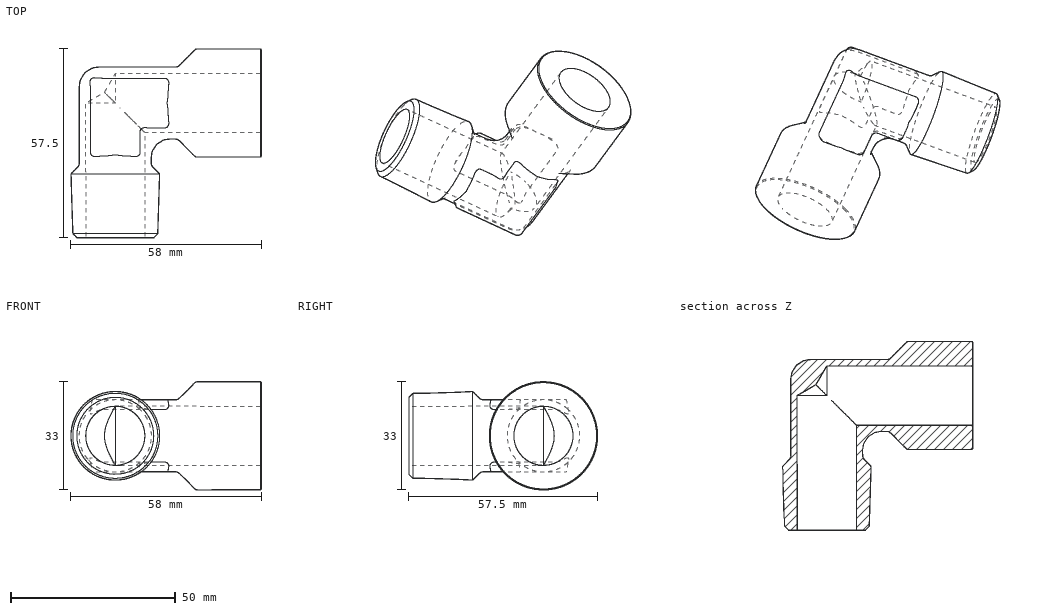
import cadquery as cq
import math


pipe_radius = 11.0
outer_bend_radius = 6.0
inner_bend_radius = 5.5
bend_half_height = 9.2
collar_start = 19.0
leg_length = 18.0
flare_fillet = 1.5
plane_margin = 0.01

female_radius = 16.5
female_end = 44.5
female_rim_chamfer = 0.3
female_shoulder_fillet = 1.0
female_shoulder = collar_start + female_radius - pipe_radius

male_radius = 13.53
male_end = 41.0
male_lead_chamfer = 1.25
male_taper = 1 / 16
male_shoulder = collar_start + male_radius - pipe_radius
male_chamfer_start = male_end - male_lead_chamfer
male_tip_radius = male_radius - (male_chamfer_start - male_shoulder) * male_taper / 2

bore_radius = 9.0
drill_tip_angle = 120.0
drill_tip_length = bore_radius / math.tan(math.radians(drill_tip_angle / 2))

pad_height = pipe_radius
pad_root = 5.0
pad_half_width = 7.02
pad_reach = 16.0
pad_draft = 10.0
pad_corner_radius = 1.5
pad_edge_fillet = 0.3


def revolve_about_x(points):
    """Revolve an outline of (distance along X, radius) points."""
    return cq.Workplane("XY").polyline(points).close().revolve(360, (0, 0, 0), (1, 0, 0))


def along_male_axis(solid):
    """Turn a solid lying along +X so that it lies along -Y."""
    return solid.rotate((0, 0, 0), (0, 0, 1), -90)


def make_pipe_elbow():
    """Two pipe legs mitred together, rounded at the outer and inner bend."""
    corner = pipe_radius
    mitre = (
        cq.Workplane("XY")
        .polyline([(-corner, corner), (leg_length, corner), (leg_length, -corner), (corner, -corner)])
        .close()
        .extrude(pipe_radius, both=True)
    )
    leg = cq.Workplane("YZ", origin=(leg_length, 0, 0)).circle(pipe_radius).extrude(-leg_length - corner)
    leg = leg.intersect(mitre)
    flipped_leg = leg.rotate((0, 0, 0), (1, 0, 0), 180)
    elbow = leg.union(along_male_axis(flipped_leg))

    slab_width = 2 * (leg_length + corner)
    slab = cq.Workplane("XY").box(slab_width, slab_width, 2 * bend_half_height)
    bend = elbow.intersect(slab)
    for side, radius in ((-1, outer_bend_radius), (1, inner_bend_radius)):
        near = (side * corner, -side * corner, 0)
        bend = bend.edges(cq.selectors.NearestToPointSelector(near)).fillet(radius)
    return bend.union(elbow.cut(slab))


def circle_at(distance):
    """Select the edges lying in the plane at this distance along +X."""
    return cq.selectors.BoxSelector(
        (distance - plane_margin, -female_radius, -female_radius),
        (distance + plane_margin, female_radius, female_radius),
    )


def make_end(outline):
    """Revolve an outline of (distance, radius) points running from the pipe to the tip."""
    points = [(leg_length, 0), (leg_length, pipe_radius), (collar_start, pipe_radius)]
    points += outline + [(outline[-1][0], 0)]
    end = revolve_about_x(points)
    return end.edges(circle_at(collar_start)).fillet(flare_fillet)


def make_female_end():
    end = make_end([
        (female_shoulder, female_radius),
        (female_end - female_rim_chamfer, female_radius),
        (female_end, female_radius - female_rim_chamfer),
    ])
    return end.edges(circle_at(female_shoulder)).fillet(female_shoulder_fillet)


def make_male_end():
    end = make_end([
        (male_shoulder, male_radius),
        (male_chamfer_start, male_tip_radius),
        (male_end, male_tip_radius - male_lead_chamfer),
    ])
    return along_male_axis(end)


def make_bore(length):
    """Drilled bore along +X whose cone tip starts at the origin."""
    points = [(-drill_tip_length, 0), (0, bore_radius), (length, bore_radius), (length, 0)]
    return revolve_about_x(points)


def pad_outline(growth):
    """Corners of the L, with every side moved outwards by the growth."""
    width = pad_half_width + growth
    reach = pad_reach + growth
    return [
        (-width, width),
        (reach, width),
        (reach, -width),
        (width, -width),
        (width, -reach),
        (-width, -reach),
    ]


def make_pad():
    """Drafted L-shaped pad whose flat face is level with the top of the pipe."""
    rise = pad_height - pad_root
    pad = (
        cq.Workplane("XY", origin=(0, 0, pad_root))
        .polyline(pad_outline(rise * math.tan(math.radians(pad_draft))))
        .close()
        .workplane(offset=rise)
        .polyline(pad_outline(0))
        .close()
        .loft(ruled=True)
    )
    pad = pad.edges("not(|X or |Y)").fillet(pad_corner_radius)
    return pad.faces(">Z").edges().fillet(pad_edge_fillet)


top_pad = make_pad()
body = make_pipe_elbow().union(top_pad).union(top_pad.mirror("XY"))
body = body.union(make_female_end()).union(make_male_end())
result = body.cut(make_bore(female_end)).cut(along_male_axis(make_bore(male_end)))